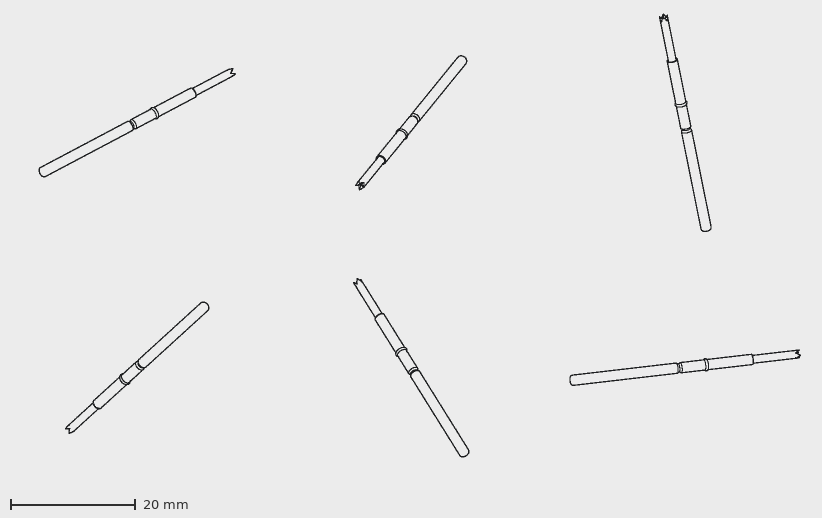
import cadquery as cq
import math

total_length = 38.4
barrel_radius = 0.85
plunger_radius = 0.65
plunger_length = 8.0
barrel_length = total_length - plunger_length

tail_fillet = 0.42

groove_center = 18.12
groove_width = 0.7
groove_depth = 0.2

ring_radius = 1.0
ring_start = 22.43
ring_width = 0.45

crown_angle = 60.0
crown_half_width = plunger_radius * math.sin(math.radians(45))
crown_depth = crown_half_width / math.tan(math.radians(crown_angle / 2))


def make_barrel():
    ring_end = ring_start + ring_width
    groove_half = groove_width / 2
    barrel = (
        cq.Workplane("XY")
        .lineTo(barrel_radius, 0)
        .lineTo(barrel_radius, groove_center - groove_half)
        .lineTo(barrel_radius - groove_depth, groove_center)
        .lineTo(barrel_radius, groove_center + groove_half)
        .lineTo(barrel_radius, ring_start)
        .threePointArc((ring_radius, ring_start + ring_width / 2), (barrel_radius, ring_end))
        .lineTo(barrel_radius, barrel_length)
        .lineTo(0, barrel_length)
        .close()
        .revolve(360, (0, 0, 0), (0, 1, 0))
    )
    return barrel.faces("<Y").edges().fillet(tail_fillet)


def make_plunger():
    return (
        cq.Workplane("XZ", origin=(0, barrel_length, 0))
        .circle(plunger_radius)
        .extrude(-plunger_length)
    )


def crown_cut(direction):
    """V groove across the tip, turned by the given angle about the Y axis."""
    return (
        cq.Workplane("XY")
        .moveTo(0, total_length - crown_depth)
        .lineTo(crown_half_width, total_length)
        .lineTo(-crown_half_width, total_length)
        .close()
        .extrude(2 * plunger_radius, both=True)
        .rotate((0, 0, 0), (0, 1, 0), direction)
    )


result = make_plunger().union(make_barrel())
for direction in (45, 135):
    result = result.cut(crown_cut(direction))